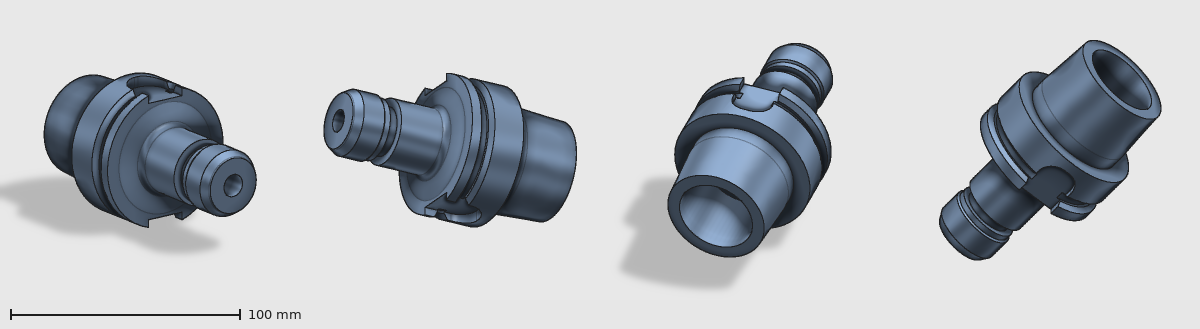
import cadquery as cq

TOTAL_LENGTH = 107
TAPER_END = 25.6
FLANGE_START = 32.0
FLANGE_END = 57.9
GROOVE_START = 46.5
GROOVE_FLOOR_START = 48.3
GROOVE_FLOOR_END = 51.7
GROOVE_END = 53.2
CONE_END = 60.1
SHANK_START = 63.1
SHANK_END = 84.0
NECK_END = 89.0
COLLAR_END = 91.7
HEAD_START = 92.5
HEAD_CHAMFER_START = 102.8
TIP_START = 106.5

TAPER_TIP_RADIUS = 22.5
TAPER_BASE_RADIUS = 24.0
FLANGE_RADIUS = 31.51
GROOVE_RADIUS = 27.6
GROOVE_CHAMFER_RADIUS = 28.9
CONE_BASE_RADIUS = 25.3
CONE_TOP_RADIUS = 16.9
SHANK_RADIUS = 15
NECK_RADIUS = 11.1
COLLAR_RADIUS = 14.0
TIP_RADIUS = 13.0
END_FACE_RADIUS = 12.5

SOCKET_RADIUS = 17.0
SOCKET_DEPTH = FLANGE_START
THROUGH_RADIUS = 5.0

SLOT_START = 36.8
SLOT_WIDTH = 18.2
SLOT_CORNER_RADIUS = 8.0
SLOT_FLOOR_HEIGHT = 26.6


def turned_body():
    """Revolve the outer profile about the X axis."""
    fillet_length = SHANK_START - CONE_END
    fillet_height = CONE_TOP_RADIUS - SHANK_RADIUS
    fillet_radius = (fillet_length**2 + fillet_height**2) / (2 * fillet_height)
    return (
        cq.Workplane("XY")
        .moveTo(0, 0)
        .lineTo(0, TAPER_TIP_RADIUS)
        .lineTo(TAPER_END, TAPER_BASE_RADIUS)
        .lineTo(FLANGE_START, TAPER_BASE_RADIUS)
        .lineTo(FLANGE_START, FLANGE_RADIUS)
        .lineTo(GROOVE_START, FLANGE_RADIUS)
        .lineTo(GROOVE_FLOOR_START, GROOVE_CHAMFER_RADIUS)
        .lineTo(GROOVE_FLOOR_START, GROOVE_RADIUS)
        .lineTo(GROOVE_FLOOR_END, GROOVE_RADIUS)
        .lineTo(GROOVE_FLOOR_END, GROOVE_CHAMFER_RADIUS)
        .lineTo(GROOVE_END, FLANGE_RADIUS)
        .lineTo(FLANGE_END, FLANGE_RADIUS)
        .lineTo(FLANGE_END, CONE_BASE_RADIUS)
        .lineTo(CONE_END, CONE_TOP_RADIUS)
        .radiusArc((SHANK_START, SHANK_RADIUS), -fillet_radius)
        .lineTo(SHANK_END, SHANK_RADIUS)
        .lineTo(SHANK_END, NECK_RADIUS)
        .lineTo(NECK_END, NECK_RADIUS)
        .lineTo(NECK_END, COLLAR_RADIUS)
        .lineTo(COLLAR_END, COLLAR_RADIUS)
        .lineTo(HEAD_START, SHANK_RADIUS)
        .lineTo(HEAD_CHAMFER_START, SHANK_RADIUS)
        .lineTo(TIP_START, TIP_RADIUS)
        .lineTo(TOTAL_LENGTH, END_FACE_RADIUS)
        .lineTo(TOTAL_LENGTH, 0)
        .close()
        .revolve(360, (0, 0, 0), (1, 0, 0))
    )


def axial_bore(radius, depth):
    """Cylinder along X starting at the taper end face."""
    return cq.Workplane("YZ").circle(radius).extrude(depth)


def drive_slot():
    """Flat-floored slot in the +Z side, rounded at its closed end."""
    length = FLANGE_END - SLOT_START
    height = FLANGE_RADIUS - SLOT_FLOOR_HEIGHT
    return (
        cq.Workplane("XY")
        .box(length, SLOT_WIDTH, height, centered=(False, True, False))
        .edges("|Z and <X")
        .fillet(SLOT_CORNER_RADIUS)
        .translate((SLOT_START, 0, SLOT_FLOOR_HEIGHT))
    )


result = turned_body()
result = result.cut(axial_bore(SOCKET_RADIUS, SOCKET_DEPTH))
result = result.cut(axial_bore(THROUGH_RADIUS, TOTAL_LENGTH))
for side_angle in (0, 180):
    result = result.cut(drive_slot().rotate((0, 0, 0), (1, 0, 0), side_angle))